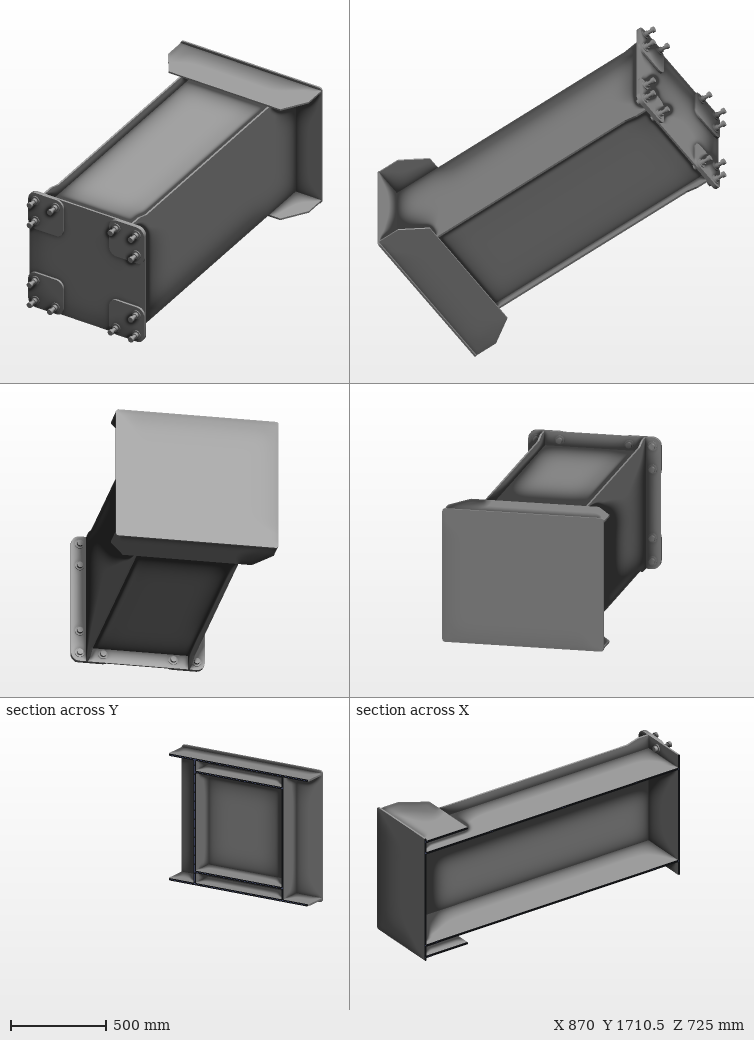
import cadquery as cq

TOTAL_LENGTH = 1710.5
BACK_WIDTH = 870.0
BACK_HEIGHT = 725.0
BACK_THICKNESS = 10.0
BACK_CORNER_RADIUS = 15.0

BOLT_DIAMETER = 20.0
NUT_DIAMETER = 31.0
NUT_LENGTH = 16.0
WASHER_DIAMETER = 50.0
WASHER_THICKNESS = 5.0
FREE_SHANK = 26.0
BOLT_REACH = WASHER_THICKNESS + 2 * NUT_LENGTH + FREE_SHANK

BOLT_OUTER = 312.5
BOLT_PITCH = 125.0
BOLT_INNER = BOLT_OUTER - BOLT_PITCH

PLATE_MARGIN = 45.0
END_SIZE = 2 * (BOLT_OUTER + PLATE_MARGIN)
END_THICKNESS = 10.0
CORNER_THICKNESS = 22.0
CORNER_WIDTH = 215.0
UPPER_CORNER_HEIGHT = 225.0
LOWER_CORNER_HEIGHT = 215.0

CORNER_BACK = CORNER_THICKNESS
END_FRONT = CORNER_BACK - END_THICKNESS
BACK_FACE = TOTAL_LENGTH - BOLT_REACH
BACK_FRONT = BACK_FACE - BACK_THICKNESS

BEAM_WIDTH = 554.0
BEAM_THICKNESS = 10.0
WEB_HEIGHT = 675.0
FLARE_STRAIGHT = 65.0
FLARE_LENGTH = 70.0
PANEL_TOP = 280.0

GUSSET_THICKNESS = 10.0
GUSSET_LENGTH = 264.0
GUSSET_TAPER_LENGTH = 140.0
GUSSET_TIP_WIDTH = 690.0


def block(width, height, y_start, y_end):
    """Rectangular plate centred on the Y axis."""
    return (
        cq.Workplane("XZ", origin=(0, y_start, 0))
        .rect(width, height)
        .extrude(y_start - y_end)
    )


def rod(diameter, y_start, y_end):
    """Cylinder along the Y axis."""
    return (
        cq.Workplane("XZ", origin=(0, y_start, 0))
        .circle(diameter / 2)
        .extrude(y_start - y_end)
    )


def back_plate():
    plate = block(BACK_WIDTH, BACK_HEIGHT, BACK_FRONT, BACK_FACE)
    return plate.edges("|Y").fillet(BACK_CORNER_RADIUS)


def end_plate():
    plate = block(END_SIZE, END_SIZE, END_FRONT, CORNER_BACK)
    return plate.edges("|Y").fillet(PLATE_MARGIN)


def corner_plate(x_sign, z_sign):
    height = UPPER_CORNER_HEIGHT if z_sign > 0 else LOWER_CORNER_HEIGHT
    plate = block(CORNER_WIDTH, height, 0, CORNER_BACK)
    plate = plate.edges("|Y").fillet(PLATE_MARGIN)
    x_centre = (END_SIZE - CORNER_WIDTH) / 2
    z_centre = (END_SIZE - height) / 2
    return plate.translate((x_sign * x_centre, 0, z_sign * z_centre))


def side_web(x_sign):
    """Web whose upper and lower edges flare out to the end plate height."""
    flare_end = CORNER_BACK + FLARE_STRAIGHT
    flare_start = flare_end + FLARE_LENGTH
    low = WEB_HEIGHT / 2
    high = END_SIZE / 2
    outline = [
        (BACK_FRONT, low),
        (flare_start, low),
        (flare_end, high),
        (CORNER_BACK, high),
        (CORNER_BACK, -high),
        (flare_end, -high),
        (flare_start, -low),
        (BACK_FRONT, -low),
    ]
    web = cq.Workplane("YZ").polyline(outline).close().extrude(BEAM_THICKNESS / 2, both=True)
    return web.translate((x_sign * (BEAM_WIDTH - BEAM_THICKNESS) / 2, 0, 0))


def panel(z_sign):
    """Plate closing the box between the webs."""
    plate = block(BEAM_WIDTH - 2 * BEAM_THICKNESS, BEAM_THICKNESS, CORNER_BACK, BACK_FRONT)
    return plate.translate((0, 0, z_sign * (PANEL_TOP - BEAM_THICKNESS / 2)))


def gusset(z_sign):
    tip = BACK_FRONT - GUSSET_LENGTH
    shoulder = tip + GUSSET_TAPER_LENGTH
    outline = [
        (-BACK_WIDTH / 2, BACK_FRONT),
        (BACK_WIDTH / 2, BACK_FRONT),
        (BACK_WIDTH / 2, shoulder),
        (GUSSET_TIP_WIDTH / 2, tip),
        (-GUSSET_TIP_WIDTH / 2, tip),
        (-BACK_WIDTH / 2, shoulder),
    ]
    plate = cq.Workplane("XY").polyline(outline).close().extrude(GUSSET_THICKNESS / 2, both=True)
    return plate.translate((0, 0, z_sign * (WEB_HEIGHT + GUSSET_THICKNESS) / 2))


def bolt():
    """Bolt with its head, two nuts and two washers, clamping a corner plate."""
    washer_back = CORNER_BACK + WASHER_THICKNESS
    nut_back = washer_back + NUT_LENGTH
    assembly = rod(BOLT_DIAMETER, -BOLT_REACH, nut_back)
    assembly = assembly.union(rod(NUT_DIAMETER, -BOLT_REACH, NUT_LENGTH - BOLT_REACH))
    assembly = assembly.union(rod(NUT_DIAMETER, -WASHER_THICKNESS - NUT_LENGTH, nut_back))
    return assembly.union(rod(WASHER_DIAMETER, -WASHER_THICKNESS, washer_back))


result = back_plate().union(end_plate())
for sign in (-1, 1):
    result = result.union(side_web(sign)).union(panel(sign)).union(gusset(sign))

fastener = bolt()
bolt_places = [
    (BOLT_OUTER, BOLT_OUTER),
    (BOLT_INNER, BOLT_OUTER),
    (BOLT_OUTER, BOLT_INNER),
]
for x_sign in (-1, 1):
    for z_sign in (-1, 1):
        result = result.union(corner_plate(x_sign, z_sign))
        for x, z in bolt_places:
            result = result.union(fastener.translate((x_sign * x, 0, z_sign * z)))